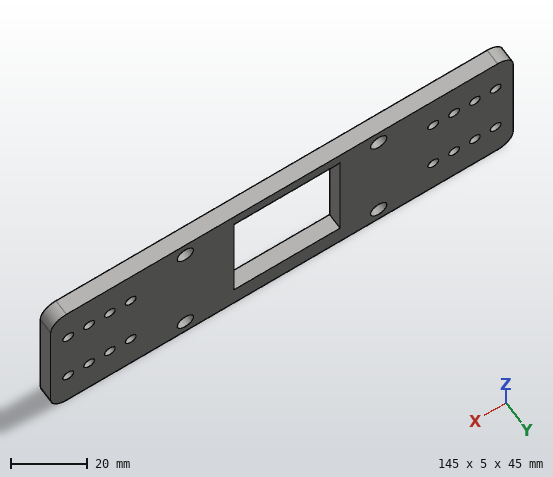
import cadquery as cq

length = 145.0
thickness = 5.0
height = 45.0
corner_radius = 5.0

window_width = 33.2
window_height = 34.1
window_center = (-1.6, 1.5)

large_hole_diameter = 5.1
large_hole_spacing_x = 60.6
large_hole_spacing_z = 35.0

small_hole_diameter = 3.3
small_hole_pitch = 6.5
small_holes_per_row = 4
small_row_spacing = 20.0
end_margin = 5.5

small_row_length = (small_holes_per_row - 1) * small_hole_pitch
small_group_x = length / 2 - end_margin - small_row_length / 2


def make_plate():
    plate = cq.Workplane("XY").box(length, thickness, height)
    return plate.edges("|Y").fillet(corner_radius)


def front_plane(plate):
    """Sketch plane on the -Y face, with local axes along X and Z."""
    return plate.faces("<Y").workplane(centerOption="CenterOfBoundBox")


def cut_window(plate):
    outline = front_plane(plate).center(*window_center).rect(window_width, window_height)
    return outline.cutThruAll()


def drill_large_holes(plate):
    centers = front_plane(plate).rect(
        large_hole_spacing_x, large_hole_spacing_z, forConstruction=True
    )
    return centers.vertices().hole(large_hole_diameter)


def drill_small_holes(plate):
    for group_x in (-small_group_x, small_group_x):
        centers = front_plane(plate).center(group_x, 0).rarray(
            small_hole_pitch, small_row_spacing, small_holes_per_row, 2
        )
        plate = centers.hole(small_hole_diameter)
    return plate


result = drill_small_holes(drill_large_holes(cut_window(make_plate())))